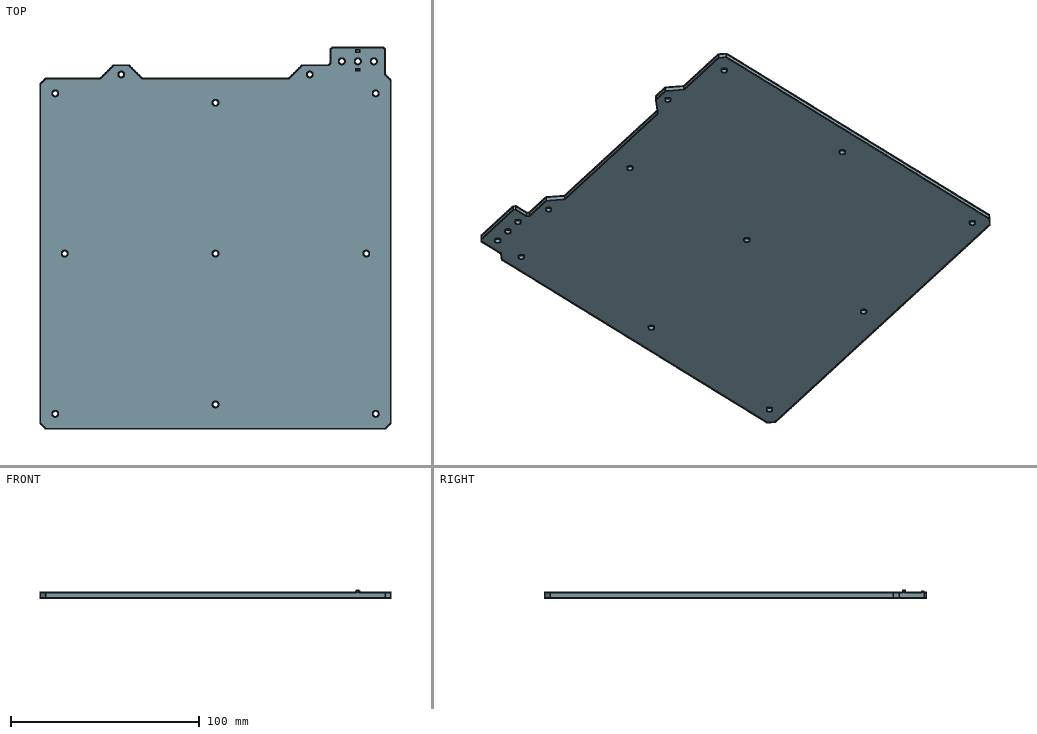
import cadquery as cq

bed_size = 186.0
half_bed = bed_size / 2
plate_thickness = 3.0
bed_corner_chamfer = 3.0

ear_y = 100.0
ear_rise = ear_y - half_bed
ear_center_x = 50.0
ear_top_half_width = 4.0
ear_base_half_width = ear_top_half_width + ear_rise

overall_depth = 202.4
tab_rear_y = overall_depth - half_bed
tab_width = 29.0
tab_right_x = half_bed - bed_corner_chamfer
tab_left_x = tab_right_x - tab_width
tab_center_x = (tab_left_x + tab_right_x) / 2
tab_foot_front_y = 92.0
tab_foot_rear_y = tab_foot_front_y + bed_corner_chamfer
tab_chamfer = 1.0

bed_hole_diameter = 3.1
corner_hole_offset = 85.0
side_hole_offset = 80.0
ear_hole_diameter = 3.0
ear_hole_y = 95.0
terminal_hole_diameter = 3.2
terminal_pitch = 8.5
terminal_y = 102.0

chip_length = 2.0
chip_width = 1.25
resistor_height = 0.5
resistor_y = 107.5
overall_height = 4.15
indicator_height = overall_height - plate_thickness
indicator_base_height = 0.3
indicator_y = 97.5
lens_length = 1.2


def make_plate_blank():
    """Board outline with both ears and the terminal tab, before drilling."""
    corner = half_bed - bed_corner_chamfer
    outline = [
        (-corner, -half_bed),
        (corner, -half_bed),
        (half_bed, -corner),
        (half_bed, tab_foot_front_y),
        (tab_right_x, tab_foot_rear_y),
        (tab_right_x, tab_rear_y),
        (tab_left_x, tab_rear_y),
        (tab_left_x, ear_y),
        (ear_center_x - ear_top_half_width, ear_y),
        (ear_center_x - ear_base_half_width, half_bed),
        (-ear_center_x + ear_base_half_width, half_bed),
        (-ear_center_x + ear_top_half_width, ear_y),
        (-ear_center_x - ear_top_half_width, ear_y),
        (-ear_center_x - ear_base_half_width, half_bed),
        (-corner, half_bed),
        (-half_bed, corner),
        (-half_bed, -corner),
    ]
    blank = cq.Workplane("XY").polyline(outline).close().extrude(plate_thickness)

    blank = blank.edges("|Z and >Y").chamfer(tab_chamfer)
    inside_corner = cq.NearestToPointSelector((tab_left_x, ear_y, plate_thickness / 2))
    return blank.edges("|Z").edges(inside_corner).chamfer(tab_chamfer)


def drill(plate, points, diameter):
    """Cut a straight through hole at each point."""
    drills = cq.Workplane("XY").pushPoints(points).circle(diameter / 2).extrude(plate_thickness)
    return plate.cut(drills)


def make_plate():
    corner_points = [
        (x, y)
        for x in (-corner_hole_offset, corner_hole_offset)
        for y in (-corner_hole_offset, corner_hole_offset)
    ]
    cross_points = [
        (0, 0),
        (side_hole_offset, 0),
        (-side_hole_offset, 0),
        (0, side_hole_offset),
        (0, -side_hole_offset),
    ]
    ear_points = [(side * ear_center_x, ear_hole_y) for side in (-1, 1)]
    terminal_points = [(tab_center_x + step * terminal_pitch, terminal_y) for step in (-1, 0, 1)]

    plate = make_plate_blank()
    plate = drill(plate, corner_points + cross_points, bed_hole_diameter)
    plate = drill(plate, ear_points, ear_hole_diameter)
    return drill(plate, terminal_points, terminal_hole_diameter)


def make_block(y, length, height):
    """Chip-wide block standing on the plate's top face, on the tab's centreline."""
    top_face = cq.Workplane("XY", origin=(tab_center_x, y, plate_thickness))
    return top_face.rect(length, chip_width).extrude(height)


def make_resistor():
    return make_block(resistor_y, chip_length, resistor_height)


def make_indicator():
    """Indicator light: a low base with a taller, shorter lens in its middle."""
    base = make_block(indicator_y, chip_length, indicator_base_height)
    lens = make_block(indicator_y, lens_length, indicator_height)
    return base.union(lens)


plate = make_plate()
resistor = make_resistor()
indicator = make_indicator()

bodies = [plate, resistor, indicator]
result = cq.Compound.makeCompound([body.solids().val() for body in bodies])